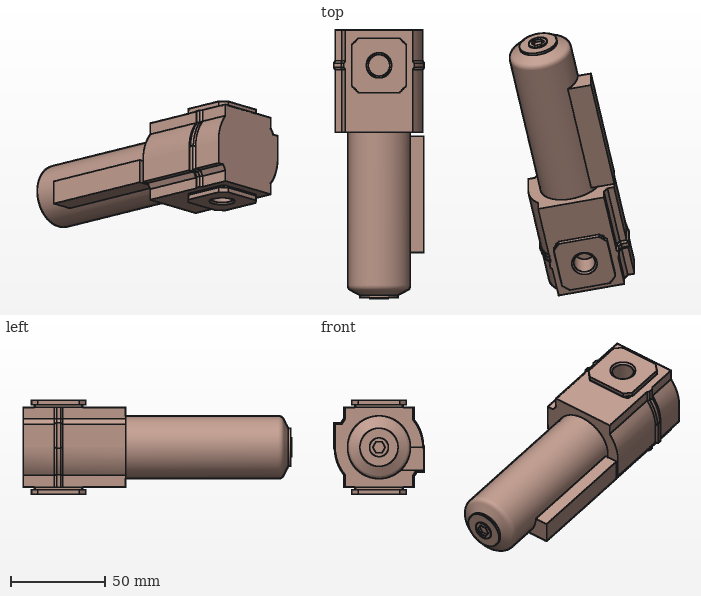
import cadquery as cq
import math


head_length = 54.5
head_half_height = 21.2
flat_half_width = 17.9
head_radius = 23.3
ledge_height = 12.3
ledge_foot = 19.7
slope_top = 15.3

port_setback = 18.9
rib_y = head_length - port_setback
rib_rise = 0.9
rib_round_radius = 23.7
rib_base_width = 4.7
rib_crest_width = 2.1
rib_drop = 0.6
rib_ledge_foot = 20.2

overall_height = 50.2
port_face = overall_height / 2
flange_size = 29.0
flange_thickness = 2.6
flange_corner = 3.6
neck_size = 25.9
neck_corner = 0.6
neck_height = port_face - flange_thickness - head_half_height
port_radius = 5.7
port_mouth_radius = 6.7
port_depth = 14.3

bowl_length = 88.5
bowl_radius = 16.7
edge_radius = 2.9
cone_base_y = -83.2
boss_radius = 10.2
boss_base_y = -86.7
boss_end_y = -88.0
plug_radius = 5.0
socket_across_flats = 5.7
socket_depth = 1.5

plate_reach = 23.9
plate_height = 12.3
plate_length = 62.0
plate_gap = 2.0


def section_plane(y):
    """Sketch plane across the axis, with x to the right and z up."""
    return cq.Workplane("XZ", origin=(0, y, 0))


def ledge_section(y, reach, ledge, foot, side, drop):
    """Upper left quarter of the head, with the ledge and the slope above it."""
    return section_plane(y).polyline([
        (0, -drop),
        (-reach, -drop),
        (-reach, ledge),
        (-foot, ledge),
        (-side, slope_top),
        (-side, head_half_height),
        (0, head_half_height),
    ]).close()


def round_section(y, radius, side):
    """Lower left quarter of the head, rounded about the axis."""
    arc_end_z = -math.sqrt(radius**2 - side**2)
    arc_end_angle = math.atan2(arc_end_z, -side)
    middle_angle = (arc_end_angle - math.pi) / 2
    arc_middle = (radius * math.cos(middle_angle), radius * math.sin(middle_angle))
    return (
        section_plane(y)
        .moveTo(0, 0)
        .lineTo(-radius, 0)
        .threePointArc(arc_middle, (-side, arc_end_z))
        .lineTo(-side, -head_half_height)
        .lineTo(0, -head_half_height)
        .close()
    )


def base_ledge(y):
    return ledge_section(y, head_radius, ledge_height, ledge_foot, flat_half_width, 0)


def crest_ledge(y):
    return ledge_section(
        y,
        head_radius + rib_rise,
        ledge_height + rib_rise,
        rib_ledge_foot,
        flat_half_width + rib_rise,
        rib_drop,
    )


def base_round(y):
    return round_section(y, head_radius, flat_half_width)


def crest_round(y):
    return round_section(y, rib_round_radius, flat_half_width + rib_rise)


def loft_between(start, end):
    """Straight-sided solid between two sections."""
    wires = [start.wires().val(), end.wires().val()]
    return cq.Workplane(cq.Solid.makeLoft(wires, True))


def make_rib(base, crest):
    """Rib quarter: a straight crest with a sloping flank on each side."""
    half_base = rib_base_width / 2
    half_crest = rib_crest_width / 2
    rib = crest(rib_y + half_crest).extrude(rib_crest_width)
    for direction in (-1, 1):
        foot_section = base(rib_y + direction * half_base)
        top_section = crest(rib_y + direction * half_crest)
        rib = rib.union(loft_between(foot_section, top_section))
    return rib


def make_port_flange():
    """Port flange on its neck, standing on the top face."""
    neck = (
        cq.Workplane("XY", origin=(0, rib_y, head_half_height))
        .rect(neck_size, neck_size)
        .extrude(neck_height)
        .edges("|Z")
        .chamfer(neck_corner)
    )
    flange = (
        cq.Workplane("XY", origin=(0, rib_y, port_face))
        .rect(flange_size, flange_size)
        .extrude(-flange_thickness)
        .edges("|Z")
        .chamfer(flange_corner)
    )
    return neck.union(flange)


def make_port_bore():
    """Blind port with a 45 degree countersink at its mouth."""
    mouth_depth = port_mouth_radius - port_radius
    return (
        cq.Workplane("XZ", origin=(0, rib_y, port_face))
        .polyline([
            (0, 0),
            (port_mouth_radius, 0),
            (port_radius, -mouth_depth),
            (port_radius, -port_depth),
            (0, -port_depth),
        ])
        .close()
        .revolve(360, (0, 0, 0), (0, 1, 0))
    )


def half_turn(shape):
    """Copy turned half a turn about the bowl axis."""
    return shape.rotate((0, 0, 0), (0, 1, 0), 180)


def make_head():
    left_half = base_ledge(head_length).extrude(head_length)
    left_half = left_half.union(base_round(head_length).extrude(head_length))
    left_half = left_half.union(make_rib(base_ledge, crest_ledge))
    left_half = left_half.union(make_rib(base_round, crest_round))
    head = left_half.union(half_turn(left_half))

    flange = make_port_flange()
    bore = make_port_bore()
    head = head.union(flange).union(half_turn(flange))
    return head.cut(bore).cut(half_turn(bore))


def make_bowl():
    shell = (
        cq.Workplane("XY")
        .polyline([
            (0, 0),
            (bowl_radius, 0),
            (bowl_radius, cone_base_y),
            (boss_radius, boss_base_y),
            (0, boss_base_y),
        ])
        .close()
        .revolve(360, (0, 0, 0), (0, 1, 0))
    )
    rim = cq.selectors.NearestToPointSelector((0, cone_base_y, 0))
    shell = shell.edges(rim).fillet(edge_radius)
    boss = section_plane(boss_base_y).circle(boss_radius).extrude(boss_base_y - boss_end_y)
    plug = section_plane(boss_end_y).circle(plug_radius).extrude(boss_end_y + bowl_length)

    plate = cq.Workplane("XY").box(plate_reach, plate_length, plate_height, centered=False)
    plate = plate.translate((0, -plate_gap - plate_length, -plate_height))

    socket_diameter = socket_across_flats / math.cos(math.pi / 6)
    socket = section_plane(-bowl_length).polygon(6, socket_diameter).extrude(-socket_depth)
    return shell.union(boss).union(plug).union(plate).cut(socket)


head = make_head()
bowl = make_bowl()

result = cq.Compound.makeCompound([head.solids().val(), bowl.solids().val()])